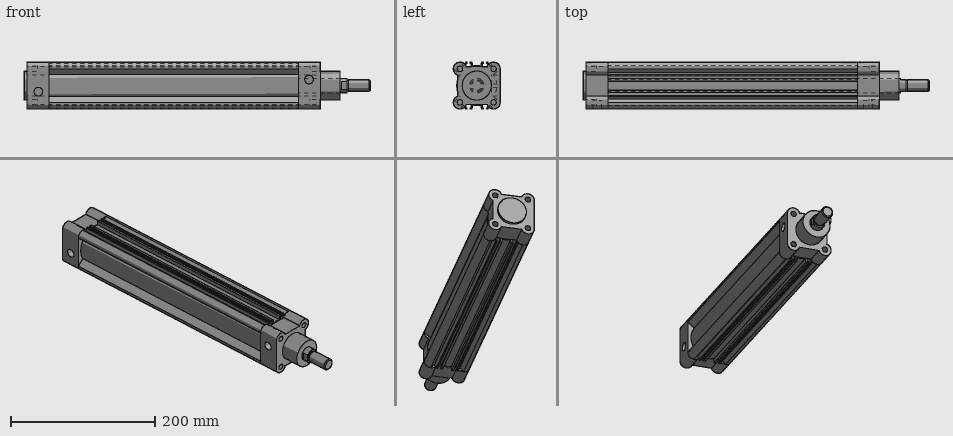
import cadquery as cq
import math

total_length = 479.0
rear_collar_length = 4.0
cap_length = 30.0
tube_length = 346.0
front_collar_length = 27.5

rear_cap_x = rear_collar_length
tube_x = rear_cap_x + cap_length
front_cap_x = tube_x + tube_length
front_face_x = front_cap_x + cap_length
guide_end_x = front_face_x + front_collar_length

half_width = 32.5
screw_spacing = 46.5
screw_offset = screw_spacing / 2
corner_radius = half_width - screw_offset
recess_floor = 26.5
collar_radius = 20.0
screw_hole_radius = 4.0
screw_hole_depth = 14.5

port_diameter = 12.0
port_depth = 12.0
port_height_step = 17.0
port_inset = 16.0

barrel_radius = 28.0
side_groove_half = 15.5
notch_y = 18.0
notch_z = 27.0
outer_lip_y = 15.5
slot_center = 11.5
slot_opening = 4.0
slot_width = 6.5
lip_bottom = 30.5
slot_floor = 26.0
inner_lip_width = 3.1
inner_lip_foot_y = 5.7

rod_radius = 10.0
across_flats = 17.0
flat_distance = across_flats / 2
flat_start = 2.0
shoulder_distance = 37.0
shoulder_x = front_face_x + shoulder_distance
thread_radius = 8.0
relief_radius = 7.5
relief_length = 2.0
tip_chamfer = 1.5


def rod_cylinder(start_x, end_x, radius):
    """Cylinder on the X axis."""
    return cq.Workplane("YZ").workplane(offset=start_x).circle(radius).extrude(end_x - start_x)


def make_cap_block(start_x):
    """Cap with round corner posts, a flat -Y side and recesses on the other three sides."""
    plane = cq.Workplane("YZ").workplane(offset=start_x)
    core_width = half_width + recess_floor
    core_center_y = (recess_floor - half_width) / 2
    block = plane.center(core_center_y, 0).rect(core_width, screw_spacing).extrude(cap_length)
    middle = plane.rect(screw_spacing, 2 * recess_floor).extrude(cap_length)
    posts = plane.rect(screw_spacing, screw_spacing, forConstruction=True).vertices()
    return block.union(middle).union(posts.circle(corner_radius).extrude(cap_length))


def screw_holes(start_x):
    """Four blind holes on the screw axes, running in +X from start_x."""
    plane = cq.Workplane("YZ").workplane(offset=start_x)
    corners = plane.rect(screw_spacing, screw_spacing, forConstruction=True).vertices()
    return corners.circle(screw_hole_radius).extrude(screw_hole_depth)


def port_hole(x, z):
    """Blind hole drilled in +Y from the -Y side."""
    plane = cq.Workplane("XZ", origin=(x, -half_width, z))
    return plane.circle(port_diameter / 2).extrude(-port_depth)


def make_rear_cap():
    cap = make_cap_block(rear_cap_x)
    cap = cap.union(rod_cylinder(0, rear_cap_x, collar_radius))
    cap = cap.cut(screw_holes(rear_cap_x))
    return cap.cut(port_hole(rear_cap_x + port_inset, -port_height_step / 2))


def make_front_cap():
    cap = make_cap_block(front_cap_x)
    cap = cap.union(rod_cylinder(front_face_x, guide_end_x, collar_radius))
    cap = cap.cut(screw_holes(front_face_x - screw_hole_depth))
    cap = cap.cut(port_hole(front_face_x - port_inset, port_height_step / 2))
    return cap.cut(rod_cylinder(front_cap_x, guide_end_x, rod_radius))


def barrel_point(angle):
    """Point (Y, Z) on the barrel, at an angle from +Y."""
    return (barrel_radius * math.cos(angle), barrel_radius * math.sin(angle))


def make_tube():
    """Extruded profile: one quarter (+Y, +Z) mirrored twice."""
    side_angle = math.asin(side_groove_half / barrel_radius)
    top_angle = math.acos(inner_lip_foot_y / barrel_radius)
    corner_middle = screw_offset + corner_radius * math.sqrt(0.5)
    opening_near = slot_center - slot_opening / 2
    opening_far = slot_center + slot_opening / 2
    slot_near = slot_center - slot_width / 2
    slot_far = slot_center + slot_width / 2

    quarter = (
        cq.Workplane("YZ").workplane(offset=tube_x)
        .lineTo(barrel_radius, 0)
        .threePointArc(barrel_point(side_angle / 2), barrel_point(side_angle))
        .lineTo(half_width, screw_offset)
        .threePointArc((corner_middle, corner_middle), (screw_offset, half_width))
        .lineTo(notch_y, notch_z)
        .lineTo(outer_lip_y, half_width)
        .lineTo(opening_far, half_width)
        .lineTo(opening_far, lip_bottom)
        .lineTo(slot_far, lip_bottom)
        .lineTo(slot_far, slot_floor)
        .lineTo(slot_near, slot_floor)
        .lineTo(slot_near, lip_bottom)
        .lineTo(opening_near, lip_bottom)
        .lineTo(opening_near, half_width)
        .lineTo(opening_near - inner_lip_width, half_width)
        .lineTo(*barrel_point(top_angle))
        .threePointArc(barrel_point((top_angle + math.pi / 2) / 2), (0, barrel_radius))
        .close()
        .extrude(tube_length)
    )
    half = quarter.union(quarter.mirror("XZ"))
    return half.union(half.mirror("XY"))


def make_rod():
    """Rod through the front cap, with two wrench flats and a threaded end."""
    relief_end_x = shoulder_x + relief_length
    shank = rod_cylinder(front_cap_x, shoulder_x, rod_radius)
    flat_start_x = guide_end_x + flat_start
    flat_depth = rod_radius - flat_distance
    for side in (-1, 1):
        waste = cq.Workplane("XY").box(shoulder_x - flat_start_x, flat_depth, 2 * rod_radius)
        middle = ((flat_start_x + shoulder_x) / 2, side * (flat_distance + flat_depth / 2), 0)
        shank = shank.cut(waste.translate(middle))
    relief = rod_cylinder(shoulder_x, relief_end_x, relief_radius)
    thread = rod_cylinder(relief_end_x, total_length, thread_radius)
    thread = thread.faces(">X").chamfer(tip_chamfer)
    return shank.union(relief).union(thread)


rear_cap = make_rear_cap()
tube = make_tube()
front_cap = make_front_cap()
rod = make_rod()

result = cq.Compound.makeCompound([rear_cap.val(), tube.val(), front_cap.val(), rod.val()])